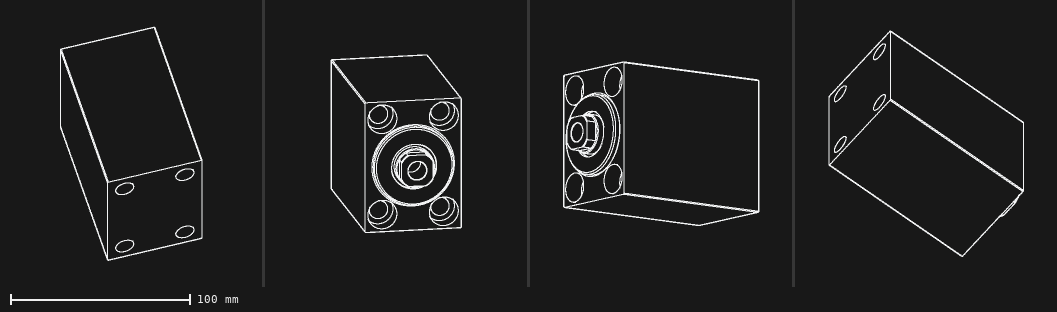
import cadquery as cq
import math


overall_length = 107.0
rod_projection = 12.0
housing_length = overall_length - rod_projection
housing_width = 55.0
housing_height = 75.0
housing_edge_chamfer = 0.5
bolt_spacing_y = 35.0
bolt_spacing_z = 55.0
bolt_hole_diameter = 10.5
counterbore_diameter = 16.5
counterbore_depth = 11.0
bore_mouth_chamfer = 1.0

gland_diameter = 45.0
gland_projection = 3.0
gland_insertion = 15.0
gland_chamfer = 1.0
wiper_recess_diameter = 25.7
wiper_recess_depth = 2.0

rod_diameter = 22.0
rod_chamfer = 0.5
rod_insertion = gland_insertion
wrench_end_diameter = 20.9
wrench_end_length = 6.0
wrench_end_chamfer = 0.3
wrench_flats = 18.0
rod_hole_diameter = 10.5
rod_hole_mouth_chamfer = 0.2
rod_hole_depth = 17.1
drill_point_angle = 118.0


def x_cylinder(diameter, x_start, x_end):
    """Cylinder on the X axis between two X positions."""
    return cq.Workplane("YZ", origin=(x_start, 0, 0)).circle(diameter / 2).extrude(x_end - x_start)


def bolt_cylinders(diameter, depth):
    """Four cylinders on the bolt pattern, running into the housing from its front face."""
    return (
        cq.Workplane("YZ")
        .rect(bolt_spacing_y, bolt_spacing_z, forConstruction=True)
        .vertices()
        .circle(diameter / 2)
        .extrude(depth)
    )


def make_housing():
    """Rectangular block with a chamfered gland bore and four counterbored through holes."""
    block = (
        cq.Workplane("YZ")
        .rect(housing_width, housing_height)
        .extrude(housing_length)
        .edges("|X")
        .chamfer(housing_edge_chamfer)
    )
    block = block.cut(x_cylinder(gland_diameter, 0, gland_insertion))
    block = block.faces("<X").edges("%CIRCLE").chamfer(bore_mouth_chamfer)
    bolt_holes = bolt_cylinders(bolt_hole_diameter, housing_length)
    counterbores = bolt_cylinders(counterbore_diameter, counterbore_depth)
    return block.cut(bolt_holes).cut(counterbores)


def make_gland():
    """Ring that guides the rod, with a shallow wiper recess around it."""
    front_x = -gland_projection
    gland = x_cylinder(gland_diameter, front_x, gland_insertion).faces("<X").chamfer(gland_chamfer)
    rod_bore = x_cylinder(rod_diameter, front_x, gland_insertion)
    wiper_recess = x_cylinder(wiper_recess_diameter, front_x, front_x + wiper_recess_depth)
    return gland.cut(rod_bore).cut(wiper_recess)


def make_rod_hole():
    """Blind hole from the rod tip with a chamfered mouth and a conical drill point."""
    tip_x = -rod_projection
    radius = rod_hole_diameter / 2
    bottom_x = tip_x + rod_hole_depth
    point_length = radius / math.tan(math.radians(drill_point_angle / 2))
    return (
        cq.Workplane("XY")
        .moveTo(tip_x, 0)
        .lineTo(tip_x, radius + rod_hole_mouth_chamfer)
        .lineTo(tip_x + rod_hole_mouth_chamfer, radius)
        .lineTo(bottom_x, radius)
        .lineTo(bottom_x + point_length, 0)
        .close()
        .revolve(360, (0, 0, 0), (1, 0, 0))
    )


def make_rod():
    """Round rod whose reduced end carries four wrench flats."""
    tip_x = -rod_projection
    shoulder_x = tip_x + wrench_end_length
    shank = x_cylinder(rod_diameter, shoulder_x, rod_insertion).faces("<X").chamfer(rod_chamfer)
    wrench_end = x_cylinder(wrench_end_diameter, tip_x, shoulder_x).faces("<X").chamfer(wrench_end_chamfer)
    square_bar = (
        cq.Workplane("YZ", origin=(tip_x, 0, 0))
        .rect(wrench_flats, wrench_flats)
        .extrude(wrench_end_length)
    )
    return shank.union(wrench_end.intersect(square_bar)).cut(make_rod_hole())


housing = make_housing()
gland = make_gland()
rod = make_rod()

result = cq.Compound.makeCompound([housing.val(), gland.val(), rod.val()])